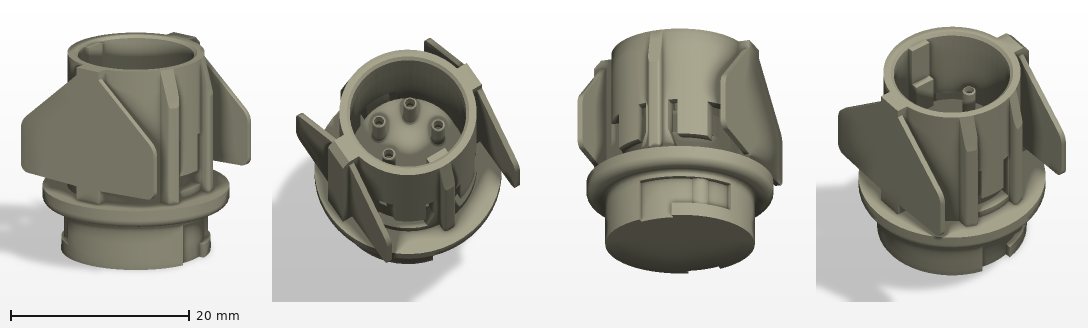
import cadquery as cq
import math

body_radius = 8.4
flange_radius = 21.0 / 2
flange_bottom = 5.47
flange_top = 7.5
flange_edge_fillet = 0.85
flange_root_fillet = 0.37

bayonet_floor_radius = 7.73
bayonet_entry_half_width = 1.9
bayonet_bottom = 1.52
bayonet_top = 4.72
bayonet_end_angle = 62.9
detent_start_angle = 29.8
detent_end_angle = 44.8
detent_radius = 1.38

total_height = 23.0
tube_radius = 7.7
cavity_radius = 6.53
mouth_radius = 6.88
mouth_bottom = 22.7
core_radius = 5.85
core_top = 13.8
groove_bottom = 10.88

boss_half_width = 1.56
rear_boss_reach = 9.65
rear_boss_chamfer = 0.83

wing_outer_face = 8.83
wing_thickness = 0.62
wing_half_width = 9.48
wing_top = 22.08
wing_upper_corner = 15.35
wing_lower_corner = 9.43
wing_bottom = 9.1
wing_upper_radius = 2.0
wing_lower_radius = 1.0

rib_outer_radius = 8.83
rib_width = 1.5
rib_edge_fillet = 0.37
rib_taper_bottom = 18.72
side_rib_offset = 3.27

latch_top = 14.4
latch_bottom = 8.35
finger_bottom = 10.21
latch_near_side = 1.3
latch_near_chamfer = 0.85
latch_far_plane = 3.05
finger_near_side = 2.32
finger_far_side = 5.27
latch_clearance = 0.1
back_finger_half_width = 1.52
back_latch_half_width = 2.42

hook_tip_radius = 5.93
hook_bottom = 11.0
hook_end_angle = 54.4

key_half_width = 1.22
key_upper_reach = 5.77
key_lower_reach = 5.01

pin_diameter = 1.47
pin_base_diameter = 1.82
pin_bore_diameter = 1.1
pin_bore_depth = 1.85
pin_tip_chamfer = 0.14
drill_point_angle = 120.0
pin_top = 17.75
pin_positions = [(-1.15, 3.3), (2.8, 2.07), (2.8, -2.07), (-1.15, -3.3)]

overlap = 0.23
reach = 2 * flange_radius


def disc(radius, bottom, top):
    return cq.Workplane("XY").workplane(offset=bottom).circle(radius).extrude(top - bottom)


def ring(inner_radius, outer_radius, bottom, top):
    return disc(outer_radius, bottom, top).cut(disc(inner_radius, bottom, top))


def block(x_range, y_range, z_range):
    size = [high - low for low, high in (x_range, y_range, z_range)]
    return cq.Workplane("XY").box(*size, centered=False).translate((x_range[0], y_range[0], z_range[0]))


def turned(profile):
    """Solid of revolution about Z from (radius, height) points."""
    return cq.Workplane("XZ").polyline(profile).close().revolve(360, (0, 0, 0), (0, 1, 0))


def polar(radius, degrees):
    angle = math.radians(degrees)
    return (radius * math.cos(angle), radius * math.sin(angle))


def mirror_y(shape):
    return shape.mirror("XZ")


def make_shell():
    """Turned outline: body, flange and tube, solid throughout."""
    half_section = (
        cq.Workplane("XZ")
        .lineTo(body_radius, 0)
        .lineTo(body_radius, flange_bottom - flange_root_fillet)
        .tangentArcPoint((body_radius + flange_root_fillet, flange_bottom), relative=False)
        .lineTo(flange_radius - flange_edge_fillet, flange_bottom)
        .tangentArcPoint((flange_radius, flange_bottom + flange_edge_fillet), relative=False)
        .lineTo(flange_radius, flange_top)
        .lineTo(tube_radius, flange_top)
        .lineTo(tube_radius, total_height)
        .lineTo(0, total_height)
        .close()
    )
    return half_section.revolve(360, (0, 0, 0), (0, 1, 0))


def make_bayonet_slot():
    """L-shaped slot on the -X side: open entry at the bottom, then a run towards -Y."""
    end_x, end_y = polar(reach, 180 + bayonet_end_angle)
    entry = block((-reach, 0), (-bayonet_entry_half_width, bayonet_entry_half_width), (0, bayonet_top))
    run = (
        cq.Workplane("XY").workplane(offset=bayonet_bottom)
        .polyline([(0, 0), (-reach, 0), (-reach, end_y), (end_x, end_y)]).close()
        .extrude(bayonet_top - bayonet_bottom)
    )
    slot = entry.union(run).intersect(ring(bayonet_floor_radius, reach, 0, bayonet_top))

    half_angle = math.radians(detent_end_angle - detent_start_angle) / 2
    half_chord = bayonet_floor_radius * math.sin(half_angle)
    chord_distance = bayonet_floor_radius * math.cos(half_angle)
    axis_distance = chord_distance - math.sqrt(detent_radius**2 - half_chord**2)
    axis_x, axis_y = polar(axis_distance, 180 + (detent_start_angle + detent_end_angle) / 2)
    detent = disc(detent_radius, 0, bayonet_top).translate((axis_x, axis_y, 0))
    return slot.cut(detent)


def make_cavity():
    """Tube bore with a tapered mouth and a groove around the raised core."""
    profile = [
        (0, core_top), (core_radius, core_top), (core_radius, groove_bottom),
        (cavity_radius, groove_bottom), (cavity_radius, mouth_bottom),
        (mouth_radius, total_height), (0, total_height),
    ]
    return turned(profile)


def make_bosses():
    """Upright bosses on the +Y and -Y sides, the +Y one deeper and chamfered."""
    width = (-boss_half_width, boss_half_width)
    height = (flange_top, total_height)
    rear = block(width, (cavity_radius + overlap, rear_boss_reach), height)
    rear = rear.edges(">Y and >Z").chamfer(rear_boss_chamfer)
    front = block(width, (-wing_outer_face, -cavity_radius - overlap), height)
    return rear.union(front).cut(disc(mouth_radius + overlap, flange_top, total_height))


def make_wing():
    """Flat wing on the -Y side with rounded outer corners."""
    half = [
        (boss_half_width, wing_bottom), (wing_half_width, wing_lower_corner),
        (wing_half_width, wing_upper_corner), (boss_half_width, wing_top),
    ]
    other_half = [(-x, z) for x, z in reversed(half)]
    wing = (
        cq.Workplane("XZ", origin=(0, -wing_outer_face + wing_thickness, 0))
        .polyline(half + other_half).close().extrude(wing_thickness)
    )
    corner_fillets = ((wing_lower_corner, wing_lower_radius), (wing_upper_corner, wing_upper_radius))
    for corner_z, radius in corner_fillets:
        for side in (-1, 1):
            corner = (side * wing_half_width, -wing_outer_face + wing_thickness / 2, corner_z)
            wing = wing.edges("|Y").edges(cq.selectors.NearestToPointSelector(corner)).fillet(radius)
    return wing


def make_rib(x_direction, y_center):
    """Upright rib with rounded outer edges and a conical lead-in at the top."""
    x_range = sorted((x_direction * (cavity_radius - overlap), x_direction * reach))
    y_range = (y_center - rib_width / 2, y_center + rib_width / 2)
    rib = block(x_range, y_range, (flange_top, total_height))
    rib = rib.intersect(disc(rib_outer_radius, flange_top, total_height))
    rib_side = cq.selectors.BoxSelector(
        (x_direction * tube_radius, -reach, 0), (x_direction * reach, reach, total_height), boundingbox=False
    )
    rib = rib.edges("|Z").edges(rib_side).fillet(rib_edge_fillet)
    envelope = turned([
        (0, flange_top), (rib_outer_radius, flange_top), (rib_outer_radius, rib_taper_bottom),
        (tube_radius, total_height), (0, total_height),
    ])
    bore = disc(mouth_radius + overlap, flange_top, total_height)
    return rib.intersect(envelope).cut(bore)


def make_latch_slot():
    """U-shaped slot on the -X, +Y side of the tube, with clearance behind the finger."""
    outline = [
        (latch_near_side, latch_top), (latch_near_side, groove_bottom),
        (latch_near_side + latch_near_chamfer, latch_bottom), (reach, latch_bottom), (reach, latch_top),
        (finger_far_side, latch_top), (finger_far_side, finger_bottom),
        (finger_near_side, finger_bottom), (finger_near_side, latch_top),
    ]
    start = cq.Workplane("YZ", origin=(-reach, 0, 0))
    slot = start.polyline(outline).close().extrude(reach - latch_far_plane)
    slot = slot.intersect(ring(cavity_radius, tube_radius + overlap, latch_bottom, latch_top))
    clearance = ring(cavity_radius, cavity_radius + latch_clearance, finger_bottom, groove_bottom)
    behind = block((-reach, -latch_far_plane), (finger_near_side, finger_far_side), (0, total_height))
    return slot.union(clearance.intersect(behind))


def make_back_latch_slot():
    """Plain symmetric U-shaped slot on the +X side."""
    window = block((0, reach), (-back_latch_half_width, back_latch_half_width), (latch_bottom, latch_top))
    finger = block((0, reach), (-back_finger_half_width, back_finger_half_width), (finger_bottom, latch_top))
    finger = finger.intersect(ring(cavity_radius + latch_clearance, reach, finger_bottom, latch_top))
    tube_wall = ring(cavity_radius, tube_radius + overlap, latch_bottom, latch_top)
    return window.cut(finger).intersect(tube_wall)


def make_hook_ring():
    """Full ring with the sloped hook section, to be trimmed to each finger."""
    root_radius = cavity_radius + overlap
    profile = [
        (root_radius, hook_bottom), (hook_tip_radius, hook_bottom),
        (cavity_radius, latch_top), (root_radius, latch_top),
    ]
    return turned(profile)


def make_hooks():
    """Inward hooks on the two side fingers and the back finger."""
    hook_ring = make_hook_ring()
    heights = (hook_bottom, latch_top)
    end_x, end_y = polar(reach, 180 - hook_end_angle)
    sector = (
        cq.Workplane("XY").workplane(offset=hook_bottom)
        .polyline([(0, 0), (end_x, end_y), (-reach, end_y), (-reach, 0)]).close()
        .extrude(latch_top - hook_bottom)
    )
    span = block((-reach, 0), (finger_near_side, finger_far_side), heights)
    side_hook = hook_ring.intersect(sector).intersect(span)
    back_span = block((0, reach), (-back_finger_half_width, back_finger_half_width), heights)
    return [side_hook, mirror_y(side_hook), hook_ring.intersect(back_span)]


def make_key():
    """Stepped coding key on the -X wall of the cavity."""
    width = (-key_half_width, key_half_width)
    root = -cavity_radius - overlap
    upper = block((root, -key_upper_reach), width, (groove_bottom - overlap, mouth_bottom))
    lower = block((root, -key_lower_reach), width, (groove_bottom - overlap, pin_top))
    return upper.union(lower).intersect(disc(cavity_radius + overlap / 2, 0, total_height))


def make_pin():
    """Contact pin with a flared base, a chamfered tip and a drilled blind bore."""
    radius = pin_diameter / 2
    bore_radius = pin_bore_diameter / 2
    bore_bottom = pin_top - pin_bore_depth
    cone_depth = bore_radius / math.tan(math.radians(drill_point_angle / 2))
    flare = (pin_base_diameter - pin_diameter) / 2
    profile = [
        (0, core_top - overlap), (radius + flare, core_top - overlap), (radius + flare, core_top),
        (radius, core_top + flare), (radius, pin_top - pin_tip_chamfer),
        (radius - pin_tip_chamfer, pin_top), (bore_radius, pin_top), (bore_radius, bore_bottom),
        (0, bore_bottom - cone_depth),
    ]
    return turned(profile)


result = make_shell()

bayonet_slot = make_bayonet_slot()
for turn in (0, 180):
    result = result.cut(bayonet_slot.rotate((0, 0, 0), (0, 0, 1), turn))

wing = make_wing()
result = result.union(make_bosses()).union(wing).union(mirror_y(wing))

for x_direction, y_center in ((-1, 0), (1, side_rib_offset), (1, -side_rib_offset)):
    result = result.union(make_rib(x_direction, y_center))

result = result.cut(make_cavity())

latch_slot = make_latch_slot()
for slot in (latch_slot, mirror_y(latch_slot), make_back_latch_slot()):
    result = result.cut(slot)
for hook in make_hooks():
    result = result.union(hook)

result = result.union(make_key())

pin = make_pin()
for pin_x, pin_y in pin_positions:
    result = result.union(pin.translate((pin_x, pin_y, 0)))

result = cq.Workplane(result.solids().val())